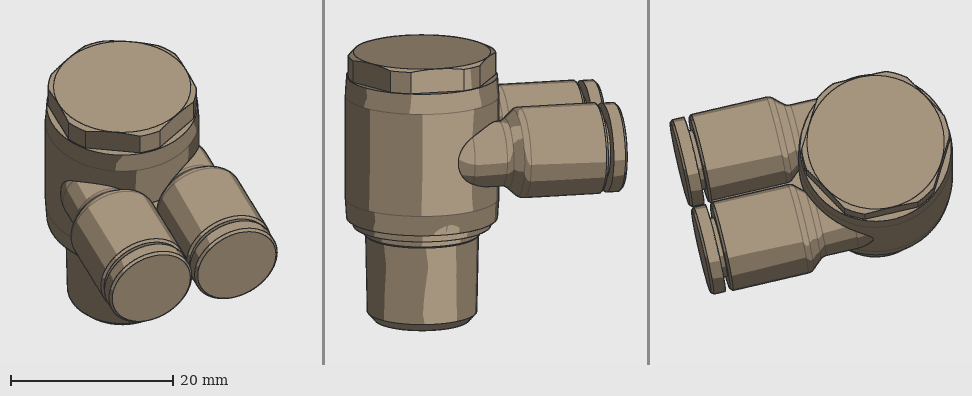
import cadquery as cq
import math

total_height = 34
thread_chamfer_height = 1.02
neck_bottom_z = 11.0
neck_groove_height = 0.2
flange_bottom_z = 12.0
body_bottom_z = 13.0
lower_taper_z = 15.5
upper_taper_z = 28.5
body_top_z = 31.0

body_radius = 9.5
body_end_radius = 9.3
flange_radius = 8.5
neck_radius = 7.17
thread_top_radius = 6.97
thread_bottom_radius = 6.75
thread_tip_radius = 5.85

hex_sides = 6
hex_across_flats = 2 * flange_radius
hex_corner_radius = 9.15
hex_top_radius = 8.45
hex_chamfer_height = 0.27

port_z = (lower_taper_z + upper_taper_z) / 2
port_spacing = 11.4
port_radius = 5.6
port_start_x = 4.5
stem_radius = 4.0
port_neck_radius = 3.75
shoulder_start_x = 8.57
shoulder_end_x = 11.22
shoulder_angle = 42
port_body_end_x = 21.05
port_body_chamfer = 0.3
ring_start_x = 21.7
ring_end_x = 23.45
ring_radius = 5.5
ring_chamfer = 0.3

web_height = 1.35
web_end_x = port_body_end_x - port_body_chamfer


def make_column():
    """Turned body with flange, neck and tapered thread."""
    profile = [
        (0, 0),
        (thread_tip_radius, 0),
        (thread_bottom_radius, thread_chamfer_height),
        (thread_top_radius, neck_bottom_z - neck_groove_height),
        (neck_radius, neck_bottom_z),
        (neck_radius, flange_bottom_z),
        (flange_radius, flange_bottom_z),
        (flange_radius, body_bottom_z),
        (body_end_radius, body_bottom_z),
        (body_radius, lower_taper_z),
        (body_radius, upper_taper_z),
        (body_end_radius, body_top_z),
        (0, body_top_z),
    ]
    return cq.Workplane("XZ").polyline(profile).close().revolve(360, (0, 0), (0, 1))


def make_hex_head():
    """Hexagon with corners turned down and a conical top edge; two flats face +Y and -Y."""
    head_height = total_height - body_top_z
    across_corners = hex_across_flats / math.cos(math.pi / hex_sides)
    head_base = cq.Workplane("XY").workplane(offset=body_top_z)
    hexagon = head_base.polygon(hex_sides, across_corners).extrude(head_height)
    turned_profile = [
        (0, body_top_z),
        (hex_corner_radius, body_top_z),
        (hex_corner_radius, total_height - hex_chamfer_height),
        (hex_top_radius, total_height),
        (0, total_height),
    ]
    turned = cq.Workplane("XZ").polyline(turned_profile).close().revolve(360, (0, 0), (0, 1))
    return hexagon.intersect(turned)


def make_port():
    """One connector about the X axis: ball-ended stem, blended conical shoulder, body and release ring."""
    ball_mid_angle = math.pi / 4
    angle = math.radians(shoulder_angle)
    shoulder_rise = port_radius - stem_radius
    cone_run = shoulder_rise / math.tan(angle)
    blend_radius = (shoulder_end_x - shoulder_start_x - cone_run) / (2 * math.tan(angle / 2))
    blend_run = blend_radius * math.sin(angle)
    blend_rise = blend_radius * (1 - math.cos(angle))
    half_run = blend_radius * math.sin(angle / 2)
    half_rise = blend_radius * (1 - math.cos(angle / 2))
    profile = (
        cq.Workplane("XY")
        .moveTo(port_start_x - stem_radius, 0)
        .threePointArc(
            (port_start_x - stem_radius * math.cos(ball_mid_angle), stem_radius * math.sin(ball_mid_angle)),
            (port_start_x, stem_radius),
        )
        .lineTo(shoulder_start_x, stem_radius)
        .threePointArc(
            (shoulder_start_x + half_run, stem_radius + half_rise),
            (shoulder_start_x + blend_run, stem_radius + blend_rise),
        )
        .lineTo(shoulder_end_x - blend_run, port_radius - blend_rise)
        .threePointArc(
            (shoulder_end_x - half_run, port_radius - half_rise),
            (shoulder_end_x, port_radius),
        )
        .lineTo(port_body_end_x - port_body_chamfer, port_radius)
        .lineTo(port_body_end_x, port_radius - port_body_chamfer)
        .lineTo(port_body_end_x, port_neck_radius)
        .lineTo(ring_start_x, port_neck_radius)
        .lineTo(ring_start_x, ring_radius)
        .lineTo(ring_end_x - ring_chamfer, ring_radius)
        .lineTo(ring_end_x, ring_radius - ring_chamfer)
        .lineTo(ring_end_x, 0)
        .close()
    )
    return profile.revolve(360, (0, 0), (1, 0))


def make_web():
    """Thin bar from the column axis along the gap between the connector bodies."""
    bar = cq.Workplane("XY").box(web_end_x, port_spacing, web_height, centered=(False, True, True))
    return bar.translate((0, 0, port_z))


result = make_column().union(make_hex_head()).union(make_web())
for side in (-1, 1):
    result = result.union(make_port().translate((0, side * port_spacing / 2, port_z)))